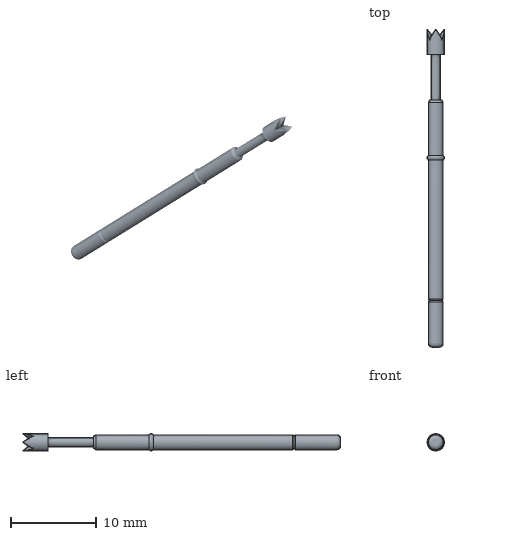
import cadquery as cq
import math

length = 37.3
head_diameter = 2.0

barrel_diameter = 1.75
barrel_length = 29.02
mouth_diameter = 1.38
mouth_taper_length = 0.3
tail_round = 0.5
ring_center = 22.23
ring_width = 0.52
groove_center = 5.5
groove_width = 0.35
groove_depth = groove_width / 2

shaft_diameter = 1.1
shaft_insertion = 3.73
head_length = 3.0
notch_wall_angle = 60.0
notch_directions = (45.0, -45.0)

head_radius = head_diameter / 2
barrel_radius = barrel_diameter / 2
mouth_radius = mouth_diameter / 2
shaft_radius = shaft_diameter / 2
head_base = length - head_length
shaft_start = barrel_length - shaft_insertion
notch_slope = math.tan(math.radians(notch_wall_angle))


def cylinder(radius, start, end):
    """Solid cylinder on the Y axis between two Y positions."""
    return cq.Workplane("XZ", origin=(0, start, 0)).circle(radius).extrude(start - end)


def make_barrel():
    """Turned tube with rounded tail, V-groove, press ring and tapered mouth."""
    ring_start = ring_center - ring_width / 2
    ring_end = ring_center + ring_width / 2
    groove_start = groove_center - groove_width / 2
    groove_end = groove_center + groove_width / 2
    groove_radius = barrel_radius - groove_depth
    round_middle = tail_round * (1 - math.sqrt(0.5))
    profile = (
        cq.Workplane("XY")
        .moveTo(0, 0)
        .lineTo(barrel_radius - tail_round, 0)
        .threePointArc((barrel_radius - round_middle, round_middle), (barrel_radius, tail_round))
        .lineTo(barrel_radius, groove_start)
        .lineTo(groove_radius, groove_center)
        .lineTo(barrel_radius, groove_end)
        .lineTo(barrel_radius, ring_start)
        .threePointArc((head_radius, ring_center), (barrel_radius, ring_end))
        .lineTo(barrel_radius, barrel_length - mouth_taper_length)
        .lineTo(mouth_radius, barrel_length)
        .lineTo(0, barrel_length)
        .close()
    )
    body = profile.revolve(360, (0, 0, 0), (0, 1, 0))
    return body.cut(cylinder(shaft_radius, shaft_start, barrel_length))


def tooth_notch(angle):
    """V-shaped prism through the crown, turned about the Y axis.

    Two crossing notches leave points midway between them; the depth puts those points at full length.
    """
    notch_bottom = length - notch_slope * head_radius * math.sqrt(0.5)
    notch_half_width = head_diameter
    notch_top = notch_bottom + notch_slope * notch_half_width
    prism = (
        cq.Workplane("XY")
        .moveTo(0, notch_bottom)
        .lineTo(notch_half_width, notch_top)
        .lineTo(-notch_half_width, notch_top)
        .close()
        .extrude(head_diameter, both=True)
    )
    return prism.rotate((0, 0, 0), (0, 1, 0), angle)


def make_plunger():
    """Shaft with a four-toothed crown; teeth point along +-X and +-Z."""
    plunger = cylinder(shaft_radius, shaft_start, head_base).union(cylinder(head_radius, head_base, length))
    for angle in notch_directions:
        plunger = plunger.cut(tooth_notch(angle))
    return plunger


barrel = make_barrel()
plunger = make_plunger()
result = cq.Compound.makeCompound([barrel.val(), plunger.val()])